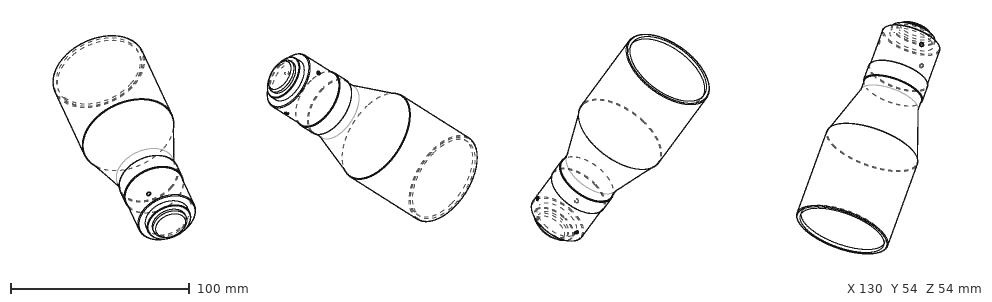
import cadquery as cq
import math

overall_length = 130.0
barrel_end = 53.9
cone_end = 84.2
collar_start = 90.2
collar_end = 100.2
housing_end = 123.5
boss_end = 127.3

barrel_radius = 27.0
housing_radius = 17.0
collar_radius = 17.5
boss_radius = 12.9
mount_radius = 10.0

rim_chamfer = 0.5
shoulder_chamfer = 0.4
collar_chamfer = 0.4
housing_chamfer = 0.5
boss_chamfer = 0.4
mount_chamfer = 1.2

window_radius = 24.8
window_depth = 2.0

screw_count = 3
screw_radius = 1.2
screw_depth = 0.6
screw_station = 116.0
first_screw_angle = 60.0


def turned_section(start, end, radius):
    """Cylinder about the X axis between two stations."""
    return cq.Workplane("YZ", origin=(start, 0, 0)).circle(radius).extrude(end - start)


def barrel():
    """Front barrel with bevelled ends and a recessed window."""
    body = turned_section(0, barrel_end, barrel_radius)
    body = body.faces("<X").chamfer(rim_chamfer)
    body = body.faces(">X").chamfer(shoulder_chamfer)
    return body.cut(turned_section(0, window_depth, window_radius))


def cone():
    """Taper from the barrel down to the housing."""
    profile = (
        cq.Workplane("XY")
        .moveTo(barrel_end, 0)
        .lineTo(barrel_end, barrel_radius - shoulder_chamfer)
        .lineTo(cone_end, housing_radius)
        .lineTo(cone_end, 0)
        .close()
    )
    return profile.revolve(360, (0, 0, 0), (1, 0, 0))


def rear_housing():
    """Housing with its raised collar, rear boss and stepped mount."""
    body = turned_section(cone_end, housing_end, housing_radius)
    collar = turned_section(collar_start, collar_end, collar_radius)
    boss = turned_section(housing_end, boss_end, boss_radius)
    mount = turned_section(boss_end, overall_length, mount_radius)
    return (
        body.faces(">X").chamfer(housing_chamfer)
        .union(collar.faces("<X or >X").chamfer(collar_chamfer))
        .union(boss.faces(">X").chamfer(boss_chamfer))
        .union(mount.faces(">X").chamfer(mount_chamfer))
    )


def screw_holes():
    """Radial blind holes, evenly spaced; angles are measured from -Y toward +Z."""
    holes = cq.Workplane("XY")
    for index in range(screw_count):
        angle = math.radians(first_screw_angle + index * 360 / screw_count)
        outward = cq.Vector(0, -math.cos(angle), math.sin(angle))
        mouth = cq.Vector(screw_station, 0, 0) + outward * collar_radius
        depth = screw_depth + collar_radius - housing_radius
        holes = holes.add(cq.Solid.makeCylinder(screw_radius, depth, mouth, outward * -1))
    return holes.combine()


result = barrel().union(cone()).union(rear_housing()).cut(screw_holes())